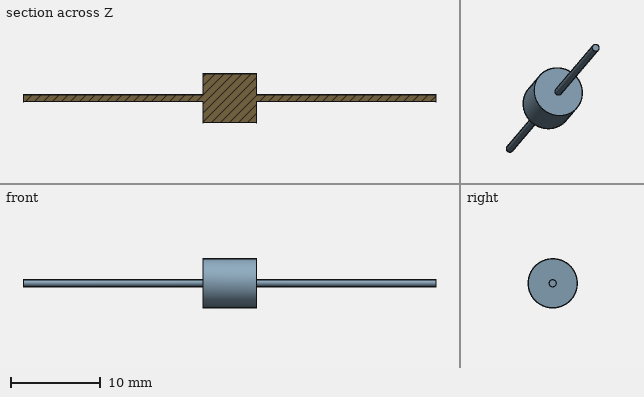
import cadquery as cq

body_length = 6.0
body_diameter = 5.5
lead_length = 20.0
lead_diameter = 0.8

overall_length = body_length + 2 * lead_length


def centered_cylinder(diameter, length):
    """Cylinder along X, centred on the origin."""
    start = cq.Workplane("YZ", origin=(-length / 2, 0, 0))
    return start.circle(diameter / 2).extrude(length)


body = centered_cylinder(body_diameter, body_length)
leads = centered_cylinder(lead_diameter, overall_length)

result = body.union(leads)